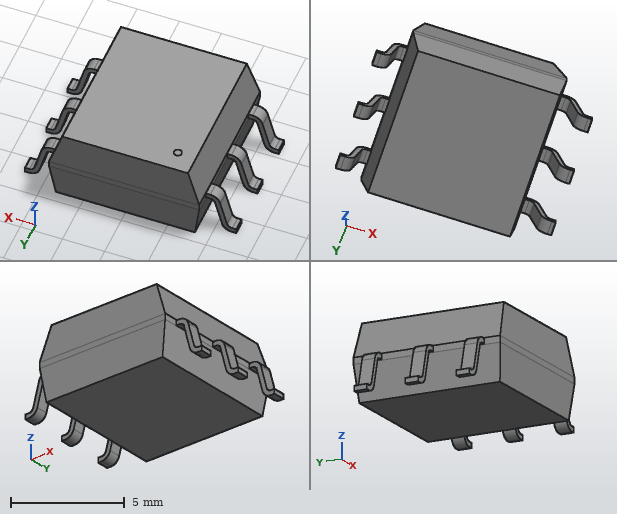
import cadquery as cq
import math

belt_width = 7.13
belt_length = 7.29
belt_bottom_z = 1.74
belt_top_z = 2.04
housing_height = 3.76
top_width = 5.97
top_length = 7.05
bottom_width = 6.59
bottom_length = 6.99

marker_diameter = 0.36
marker_depth = 0.1
marker_x = -2.11

overall_span = 10.01
lead_count_per_side = 3
lead_pitch = 2.54
lead_width = 0.64
lead_thickness = 0.25
lead_top_z = 2.01
foot_flat = 0.2
bend_inner_radius = 0.25
bend_angle = math.radians(75)

bend_outer_radius = bend_inner_radius + lead_thickness
marker_y = lead_pitch * (lead_count_per_side - 1) / 2


def tapered_block(start_z, start_size, end_z, end_size):
    """Loft between two centred rectangles on horizontal planes."""
    return (
        cq.Workplane("XY")
        .workplane(offset=start_z)
        .rect(*start_size)
        .workplane(offset=end_z - start_z)
        .rect(*end_size)
        .loft(ruled=True)
    )


def make_marker():
    return (
        cq.Workplane("XY")
        .workplane(offset=housing_height - marker_depth)
        .center(marker_x, marker_y)
        .circle(marker_diameter / 2)
        .extrude(marker_depth)
    )


def make_housing():
    belt_size = (belt_width, belt_length)
    lower = tapered_block(0, (bottom_width, bottom_length), belt_bottom_z, belt_size)
    belt = tapered_block(belt_bottom_z, belt_size, belt_top_z, belt_size)
    upper = tapered_block(belt_top_z, belt_size, housing_height, (top_width, top_length))
    return lower.union(belt).union(upper).cut(make_marker())


def arc_point(center, radius, angle):
    """Point on a circle in the XZ plane, with the angle measured from +X."""
    return (center[0] + radius * math.cos(angle), center[1] + radius * math.sin(angle))


def make_lead(y):
    """Lead on the -X side, centred at y and butting against the housing belt."""
    housing_x = -belt_width / 2
    tip_x = -overall_span / 2

    lower_center = (tip_x + foot_flat, bend_outer_radius)
    upper_center_z = lead_top_z - bend_outer_radius
    radius_sum = bend_outer_radius + bend_inner_radius
    center_rise = upper_center_z - lower_center[1]
    leg_length = (center_rise + radius_sum * math.cos(bend_angle)) / math.sin(bend_angle)
    center_run = leg_length * math.cos(bend_angle) + radius_sum * math.sin(bend_angle)
    upper_center = (lower_center[0] + center_run, upper_center_z)

    up = math.pi / 2
    down = -math.pi / 2
    half_bend = bend_angle / 2
    profile = (
        cq.Workplane("XZ", origin=(0, y, 0))
        .moveTo(tip_x, 0)
        .lineTo(*arc_point(lower_center, bend_outer_radius, down))
        .threePointArc(
            arc_point(lower_center, bend_outer_radius, down + half_bend),
            arc_point(lower_center, bend_outer_radius, down + bend_angle),
        )
        .lineTo(*arc_point(upper_center, bend_inner_radius, up + bend_angle))
        .threePointArc(
            arc_point(upper_center, bend_inner_radius, up + half_bend),
            arc_point(upper_center, bend_inner_radius, up),
        )
        .lineTo(housing_x, lead_top_z - lead_thickness)
        .lineTo(housing_x, lead_top_z)
        .lineTo(*arc_point(upper_center, bend_outer_radius, up))
        .threePointArc(
            arc_point(upper_center, bend_outer_radius, up + half_bend),
            arc_point(upper_center, bend_outer_radius, up + bend_angle),
        )
        .lineTo(*arc_point(lower_center, bend_inner_radius, down + bend_angle))
        .threePointArc(
            arc_point(lower_center, bend_inner_radius, down + half_bend),
            arc_point(lower_center, bend_inner_radius, down),
        )
        .lineTo(tip_x, lead_thickness)
        .close()
    )
    return profile.extrude(lead_width / 2, both=True)


housing = make_housing()
marker = make_marker()

leads = []
for index in range(lead_count_per_side):
    lead_y = (index - (lead_count_per_side - 1) / 2) * lead_pitch
    left_lead = make_lead(lead_y)
    right_lead = left_lead.mirror("YZ")
    leads.append(left_lead.solids().val())
    leads.append(right_lead.solids().val())

result = cq.Compound.makeCompound([housing.solids().val(), marker.solids().val(), *leads])